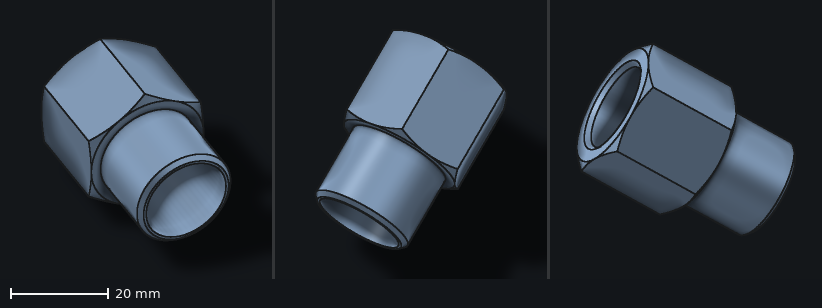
import cadquery as cq
import math

total_length = 38.8
hex_length = 21.9
across_flats = 26.2
spigot_diameter = 21.9
bore_diameter = 18.62
edge_chamfer = 1.0
hex_chamfer_angle = 30.0

across_corners = across_flats / math.cos(math.radians(30))
flat_radius = across_flats / 2
corner_radius = across_corners / 2
corner_setback = (corner_radius - flat_radius) * math.tan(math.radians(hex_chamfer_angle))


def make_hexagon():
    """Hexagon with flats facing +/-Y and conical chamfers on both ends."""
    prism = (
        cq.Workplane("YZ")
        .polygon(6, across_corners)
        .extrude(hex_length)
        .rotate((0, 0, 0), (1, 0, 0), 90)
    )
    chamfer_envelope = (
        cq.Workplane("XY")
        .moveTo(0, 0)
        .lineTo(0, flat_radius)
        .lineTo(corner_setback, corner_radius)
        .lineTo(hex_length - corner_setback, corner_radius)
        .lineTo(hex_length, flat_radius)
        .lineTo(hex_length, 0)
        .close()
        .revolve(360, (0, 0, 0), (1, 0, 0))
    )
    return prism.intersect(chamfer_envelope)


def make_spigot():
    """Round spigot with a chamfered free end."""
    return (
        cq.Workplane("YZ", origin=(hex_length, 0, 0))
        .circle(spigot_diameter / 2)
        .extrude(total_length - hex_length)
        .faces(">X")
        .chamfer(edge_chamfer)
    )


def make_bore():
    """Through bore with a countersunk mouth at the hexagon end."""
    bore_radius = bore_diameter / 2
    return (
        cq.Workplane("XY")
        .moveTo(0, 0)
        .lineTo(0, bore_radius + edge_chamfer)
        .lineTo(edge_chamfer, bore_radius)
        .lineTo(total_length, bore_radius)
        .lineTo(total_length, 0)
        .close()
        .revolve(360, (0, 0, 0), (1, 0, 0))
    )


result = make_hexagon().union(make_spigot()).cut(make_bore())